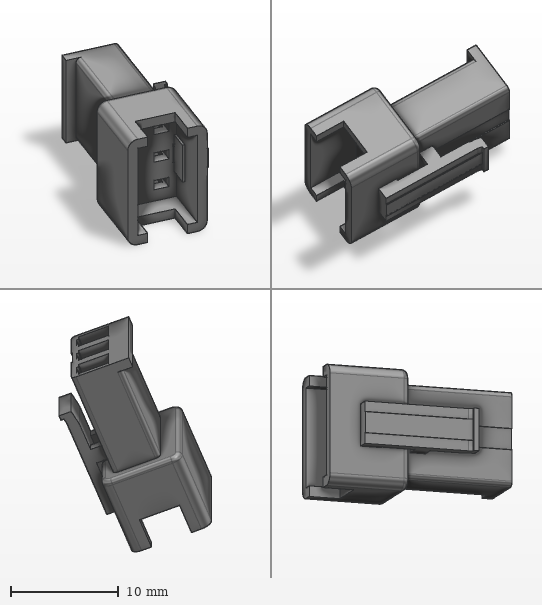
import cadquery as cq


length = 18.25
hood_start = 10.5
hood_depth = 8.0
hood_height = 11.5
hood_corner_radius = 1.0
hood_rim_radius = 0.5
hood_wall = 1.0
cavity_start = 13.25
side_notch_start = 15.25
side_notch_bottom = 2.0
side_notch_width = 4.0

body_bottom = 2.0
body_top = 6.75
body_height = 9.0
body_corner_radius = 0.5
flange_thickness = 1.0
flange_bottom = 1.0

contact_count = 3
contact_pitch = 3.01
socket_bottom = 3.03
socket_width = 3.0
socket_height = 2.0
socket_end_wall = 1.0
terminal_hole_bottom = 4.75
terminal_hole_width = 1.5
terminal_hole_height = 1.0

latch_top = 9.65
latch_height = 4.02
latch_start = 4.22
latch_end = side_notch_start
hook_length = 0.5
hook_rise = 0.38
hook_tip_depth = 1.22
hook_ramp_rise = 0.1
hook_ramp_length = 0.4
arm_bottom = 8.2
arm_taper_length = 1.5
rib_rise = 0.11
rib_height = 2.0
post_start = 8.5
post_length = 1.5
slot_height = 2.0
slot_depth_in_body = 0.13


def block(x_range, y_range, height):
    """Box spanning the given X and Y ranges, centred on Z = 0."""
    x_min, x_max = x_range
    y_min, y_max = y_range
    return (
        cq.Workplane("XY")
        .box(x_max - x_min, y_max - y_min, height, centered=(False, False, True))
        .translate((x_min, y_min, 0))
    )


def make_hood():
    hood = block((hood_start, length), (0, hood_depth), hood_height)
    hood = hood.edges("|X").fillet(hood_corner_radius)
    return hood.faces("<X").edges().fillet(hood_rim_radius)


def make_body():
    """Housing rounded along its length, with a square-edged flange at the front."""
    body = block((0, hood_start), (body_bottom, body_top), body_height)
    body = body.edges("|X").fillet(body_corner_radius)
    flange = block((0, flange_thickness), (flange_bottom, body_top), body_height)
    flange = flange.edges("|X and >Y").fillet(body_corner_radius)
    return body.union(flange)


def make_latch():
    """Hooked arm on a post and a rear support, with a low rib along its middle."""
    hook_end = latch_start + hook_length
    arm_top = latch_top - hook_rise
    arm = (
        cq.Workplane("XY")
        .workplane(offset=-latch_height / 2)
        .moveTo(latch_start, latch_top)
        .lineTo(hook_end, latch_top)
        .lineTo(hook_end, arm_top + hook_ramp_rise)
        .lineTo(hook_end + hook_ramp_length, arm_top)
        .lineTo(latch_end, arm_top)
        .lineTo(latch_end, arm_bottom)
        .lineTo(latch_start + arm_taper_length, arm_bottom)
        .lineTo(latch_start, latch_top - hook_tip_depth)
        .close()
        .extrude(latch_height)
    )
    rib = block((hook_end, latch_end), (arm_top, arm_top + rib_rise), rib_height)
    post = block((post_start, post_start + post_length), (body_top, arm_bottom), latch_height)
    rear_support = block((cavity_start, latch_end), (body_top, arm_bottom), latch_height)
    return arm.union(rib).union(post).union(rear_support)


def make_hood_cavity():
    """Mating cavity, open at the rear and through notches in both Z sides."""
    cavity = block(
        (cavity_start, length),
        (hood_wall, hood_depth - hood_wall),
        hood_height - 2 * hood_wall,
    )
    notches = block(
        (side_notch_start, length),
        (side_notch_bottom, side_notch_bottom + side_notch_width),
        hood_height,
    )
    return cavity.union(notches)


def make_contact_opening():
    """Socket entered from the front, with a smaller terminal hole into the cavity."""
    socket = block(
        (0, cavity_start - socket_end_wall),
        (socket_bottom, socket_bottom + socket_width),
        socket_height,
    )
    terminal_hole = block(
        (0, cavity_start),
        (terminal_hole_bottom, terminal_hole_bottom + terminal_hole_width),
        terminal_hole_height,
    )
    return socket.union(terminal_hole)


result = make_body().union(make_hood()).cut(make_hood_cavity())
contact_opening = make_contact_opening()
for index in range(contact_count):
    offset = (index - (contact_count - 1) / 2) * contact_pitch
    result = result.cut(contact_opening.translate((0, 0, offset)))

result = result.union(make_latch())
latch_slot = block((0, cavity_start), (body_top - slot_depth_in_body, arm_bottom), slot_height)
result = result.cut(latch_slot)